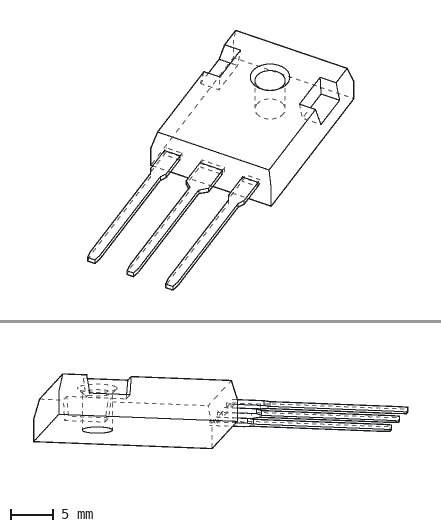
import cadquery as cq

TOTAL_LENGTH = 42.15

HOUSING_WIDTH = 15.9
HOUSING_LENGTH = 21.32
HOUSING_HEIGHT = 5.0
LOWER_HEIGHT = 2.7
UPPER_HEIGHT = HOUSING_HEIGHT - LOWER_HEIGHT
UPPER_INSET = 0.6

HOLE_FROM_BACK = 6.1
HOLE_DIAMETER = 3.55
COUNTERSINK_DIAMETER = 4.65
COUNTERSINK_ANGLE = 90

RECESS_FROM_BACK = 3.45
RECESS_LENGTH = 5.3
RECESS_REACH = 2.7
RECESS_DRAFT = 0.25

LEAD_PITCH = 5.15
LEAD_THICKNESS = 0.6
LEAD_REACH = TOTAL_LENGTH - HOUSING_LENGTH
LEAD_EMBEDMENT = UPPER_INSET
SHOULDER_LENGTH = 3.5
SHOULDER_TAPER_LENGTH = 0.8
TIP_LENGTH = 1.0
TIP_NARROWING = 0.15
SIDE_SHOULDER_WIDTH = 2.05
SIDE_SHANK_WIDTH = 1.3
MIDDLE_SHOULDER_WIDTH = 2.95
MIDDLE_SHANK_WIDTH = 1.2


def make_lead(x, shoulder_width, shank_width):
    """Flat lead with a wide shoulder, a narrow shank and a tapered tip."""
    shoulder = shoulder_width / 2
    shank = shank_width / 2
    shank_start = -(SHOULDER_LENGTH + SHOULDER_TAPER_LENGTH)
    right_side = [
        (shoulder, LEAD_EMBEDMENT),
        (shoulder, -SHOULDER_LENGTH),
        (shank, shank_start),
        (shank, TIP_LENGTH - LEAD_REACH),
        (shank - TIP_NARROWING, -LEAD_REACH),
    ]
    left_side = [(-px, py) for px, py in reversed(right_side)]
    return (
        cq.Workplane("XY", origin=(x, 0, LOWER_HEIGHT - LEAD_THICKNESS / 2))
        .polyline(right_side + left_side)
        .close()
        .extrude(LEAD_THICKNESS)
    )


def make_upper_taper(x, y, bottom_size, top_size):
    """Tapered block standing on the lower half and reaching the housing top."""
    return (
        cq.Workplane("XY", origin=(x, y, LOWER_HEIGHT))
        .rect(*bottom_size)
        .workplane(offset=UPPER_HEIGHT)
        .rect(*top_size)
        .loft(ruled=True)
    )


def make_recess_cutter(side):
    """Drafted block, centred on one long side (-1 or 1), that cuts its recess."""
    recess_y = HOUSING_LENGTH - RECESS_FROM_BACK - RECESS_LENGTH / 2
    top_size = (2 * RECESS_REACH, RECESS_LENGTH)
    bottom_size = tuple(size - 2 * RECESS_DRAFT for size in top_size)
    return make_upper_taper(side * HOUSING_WIDTH / 2, recess_y, bottom_size, top_size)


def make_housing(leads):
    """Moulded housing with side recesses, mounting hole and a slot for each lead."""
    middle_y = HOUSING_LENGTH / 2
    footprint = (HOUSING_WIDTH, HOUSING_LENGTH)
    top_size = tuple(size - 2 * UPPER_INSET for size in footprint)

    lower = cq.Workplane("XY", origin=(0, middle_y, 0)).rect(*footprint).extrude(LOWER_HEIGHT)
    housing = lower.union(make_upper_taper(0, middle_y, footprint, top_size))

    for side in (-1, 1):
        housing = housing.cut(make_recess_cutter(side))

    hole_y = HOUSING_LENGTH - HOLE_FROM_BACK
    housing = (
        housing.faces(">Z")
        .workplane(origin=(0, hole_y, HOUSING_HEIGHT))
        .cskHole(HOLE_DIAMETER, COUNTERSINK_DIAMETER, COUNTERSINK_ANGLE)
    )

    for lead in leads:
        housing = housing.cut(lead)
    return housing


side_leads = [
    make_lead(side * LEAD_PITCH, SIDE_SHOULDER_WIDTH, SIDE_SHANK_WIDTH) for side in (-1, 1)
]
middle_lead = make_lead(0, MIDDLE_SHOULDER_WIDTH, MIDDLE_SHANK_WIDTH)
all_leads = [*side_leads, middle_lead]
housing = make_housing(all_leads)

result = cq.Compound.makeCompound(
    [housing.solids().val(), *[lead.val() for lead in all_leads]]
)